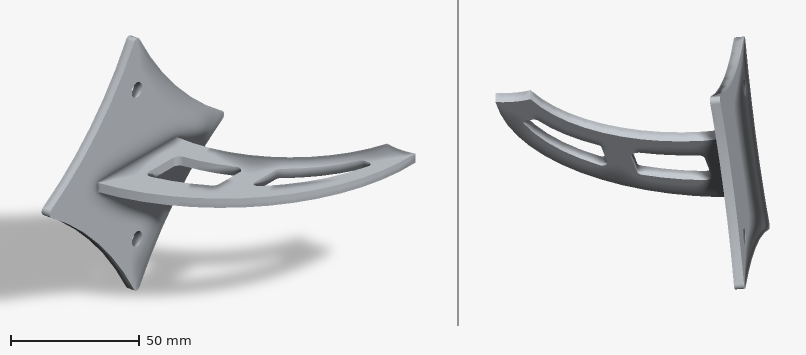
import cadquery as cq
import math

plate_thickness = 4.0
plate_reach = 55.0
plate_side_radius = 150.0
plate_point_radius = 2.0
hole_diameter = 6.5
hole_offset = 32.5

arm_thickness = 4.0
arm_root_half_width = 25.0
arm_tip_y = 71.19
arm_outer_tip_x = 85.9
arm_inner_tip_x = 72.0
arm_outer_radius = 92.4
arm_inner_radius = 65.3
arm_end_radius = 25.0

window_upper_centre = (8.5, 83.5)
window_upper_radius = 70.8
window_lower_centre = (1.5, 69.0)
window_lower_radius = 78.7
root_window_start_x = 14.0
root_window_end_x = 42.0
root_window_corner_radius = 3.0
window_spacing = 10.0
tip_window_start_x = root_window_end_x + window_spacing
tip_window_end_y = 54.0
tip_window_corner_radius = 2.0


def turn(along, across, angle):
    """Rotate a point of the plate outline about the plate centre."""
    return (
        along * math.cos(angle) - across * math.sin(angle),
        along * math.sin(angle) + across * math.cos(angle),
    )


def make_plate():
    """Star whose concave sides run tangent into the rounded points."""
    point_centre = plate_reach - plate_point_radius
    centre_distance = plate_side_radius + plate_point_radius
    side_centre = (point_centre + math.sqrt(2 * centre_distance**2 - point_centre**2)) / 2
    point_share = plate_point_radius / centre_distance
    tangent_along = point_centre + point_share * (side_centre - point_centre)
    tangent_across = point_share * side_centre
    side_middle = side_centre - plate_side_radius / math.sqrt(2)

    outline = cq.Workplane("YZ").moveTo(tangent_along, -tangent_across)
    for quarter in range(4):
        angle = quarter * math.pi / 2
        outline = outline.threePointArc(
            turn(plate_reach, 0, angle),
            turn(tangent_along, tangent_across, angle),
        )
        outline = outline.threePointArc(
            turn(side_middle, side_middle, angle),
            turn(tangent_across, tangent_along, angle),
        )
    return outline.close().extrude(plate_thickness)


def make_screw_holes():
    return (
        cq.Workplane("YZ")
        .pushPoints([(0, hole_offset), (0, -hole_offset)])
        .circle(hole_diameter / 2)
        .extrude(plate_thickness)
    )


def arm_plane():
    """Sketch plane on the lower face of the arm, which is centred on Z = 0."""
    return cq.Workplane("XY").workplane(offset=-arm_thickness / 2)


def make_arm():
    """Horn bounded by an outer arc, a concave end and an inner arc."""
    return (
        arm_plane()
        .moveTo(plate_thickness, -arm_root_half_width)
        .radiusArc((arm_outer_tip_x, arm_tip_y), -arm_outer_radius)
        .radiusArc((arm_inner_tip_x, arm_tip_y), arm_end_radius)
        .radiusArc((plate_thickness, arm_root_half_width), arm_inner_radius)
        .close()
        .extrude(arm_thickness)
    )


def arm_disc(centre, radius):
    return arm_plane().center(*centre).circle(radius).extrude(arm_thickness)


def make_window(start_x, end_x, corner_radius):
    """Band between the two window arcs, cut off at both ends and with rounded corners."""
    lower_disc = arm_disc(window_lower_centre, window_lower_radius)
    upper_disc = arm_disc(window_upper_centre, window_upper_radius)
    span_start_y = -arm_root_half_width
    span = (
        arm_plane()
        .moveTo(start_x, span_start_y)
        .rect(end_x - start_x, tip_window_end_y - span_start_y, centered=False)
        .extrude(arm_thickness)
    )
    return lower_disc.cut(upper_disc).intersect(span).edges("|Z").fillet(corner_radius)


root_window = make_window(root_window_start_x, root_window_end_x, root_window_corner_radius)
tip_window = make_window(tip_window_start_x, arm_outer_tip_x, tip_window_corner_radius)

plate = make_plate().cut(make_screw_holes())
arm = make_arm().cut(root_window).cut(tip_window)
result = plate.union(arm)